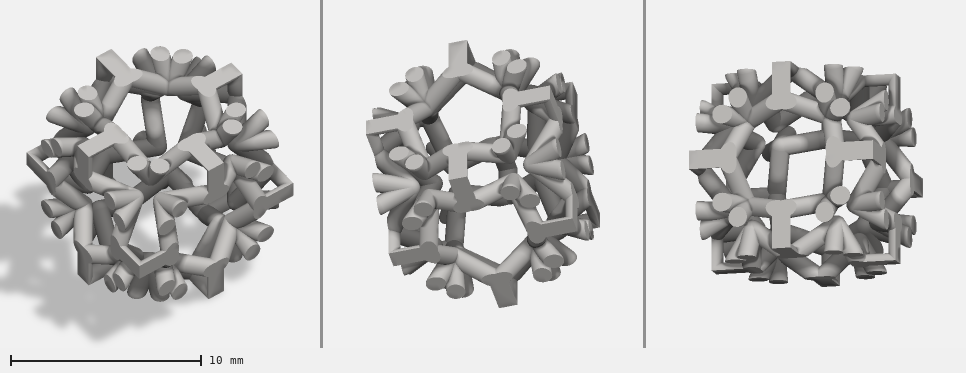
import cadquery as cq

cube_side = 10.0
strut_diameter = 1.0
node_inner = 2.27
node_outer = 3.32
foot_offset = 2.96
stub_offset = 3.24
stub_inset = 2.36

half_side = cube_side / 2
strut_radius = strut_diameter / 2


def ball(point):
    """Sphere that rounds off the struts meeting at a node."""
    return cq.Workplane("XY").sphere(strut_radius).translate(point)


def strut(start, end):
    """Round strut between two nodes."""
    start_point = cq.Vector(*start)
    axis = cq.Vector(*end) - start_point
    rod = cq.Solid.makeCylinder(strut_radius, axis.Length, start_point, axis)
    return cq.Workplane(obj=rod)


def face_struts():
    """Struts of one octant that belong to the +Z face, with their nodes.

    Two of them end at feet, where bars lie along the face to the middles of its
    edges, and two end as stubs on the face.
    """
    inner_node = (node_inner, node_inner, node_outer)
    feet = [(0, foot_offset, half_side), (foot_offset, 0, half_side)]
    stub_ends = [(stub_inset, stub_offset, half_side), (stub_offset, stub_inset, half_side)]
    edge_middles = [(0, half_side, half_side), (half_side, 0, half_side)]

    struts = ball(inner_node)
    for outer_node in feet + stub_ends:
        struts = struts.union(ball(outer_node))
        struts = struts.union(strut(inner_node, outer_node))
    for foot, edge_middle in zip(feet, edge_middles):
        struts = struts.union(strut(foot, edge_middle))
    return struts


def octant_lattice():
    """Lattice in the all-positive octant, repeated about the cube diagonal and trimmed to the cube."""
    one_face = face_struts()
    lattice = one_face
    for turn in (120, 240):
        lattice = lattice.union(one_face.rotate((0, 0, 0), (1, 1, 1), turn))
    octant = cq.Workplane("XY").box(half_side, half_side, half_side, centered=False)
    return lattice.intersect(octant)


result = octant_lattice()
for mirror_plane in ("YZ", "XZ", "XY"):
    result = result.union(result.mirror(mirror_plane))